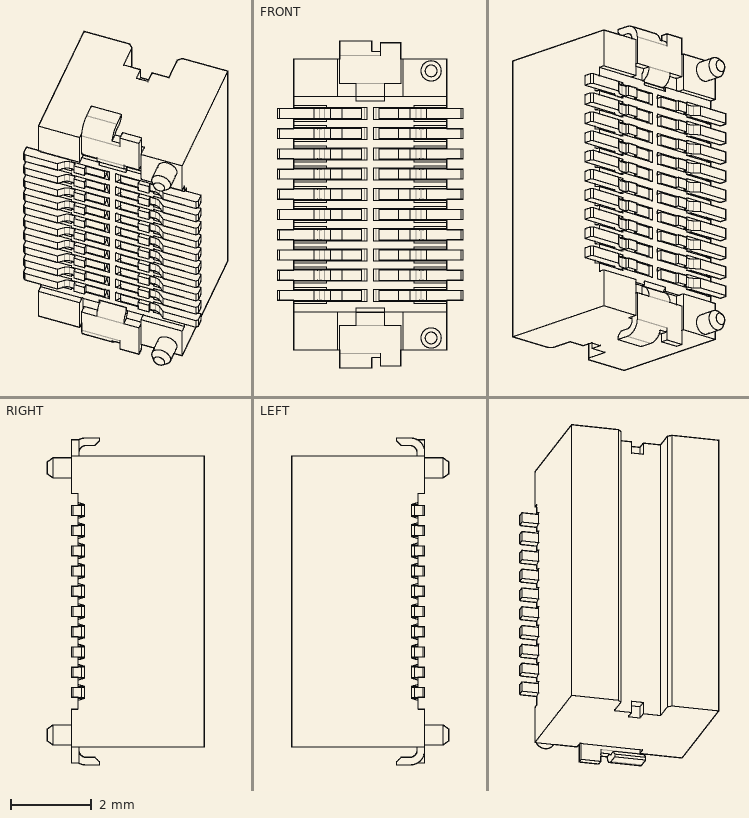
import cadquery as cq
import math


body_width = 3.79
body_depth = 3.3
body_height = 7.21
foot_inner_z = 2.665
recess_depth = 0.16

key_width = 1.19
key_depth = 0.7
key_chamfer = 0.1
key_pocket_size = 0.3

contact_count = 10
row_length = 4.5
pitch = row_length / (contact_count - 1)
contact_width = 0.25
contact_thickness = 0.25
contact_span = 4.6
contact_tip_x = contact_span / 2
contact_tip_chamfer = 0.05
bend_start_x = 1.39
bend_angle = math.radians(40.6)
bend_run = 0.14
bend_radius = 0.195
contact_inner_x = 0.21
contact_root_y = 0.49
block_outer_x = 0.99
block_inner_x = 0.705
block_front_y = 0.07

slot_width = 0.3
slot_inner_x = 0.08
slot_step_x = 0.14
slot_step_y = 0.23
slot_floor_y = 0.34
groove_inner_x = 1.085
groove_mouth_width = 0.4
groove_floor_y = 0.32

clip_width = 1.515
clip_thickness = 0.195
clip_inner_z = 3.0
clip_tab_end_z = 4.0
clip_tab_inner_x = 0.25
hook_inner_x = 0.04
hook_end_z = 4.05
hook_end_y = 0.705
hook_radius = 0.365
hook_bevel = 0.12
hook_relief_z = 3.79
neck_width = 0.71
neck_root_y = 0.65
clip_notch_width = 1.61
clip_notch_depth = 0.25
neck_bevel = 0.105

peg_diameter = 0.5
peg_length = 0.6
peg_chamfer_radial = 0.105
peg_chamfer_axial = 0.145
peg_x = 1.51
peg_z = 3.305


def box(x0, x1, y0, y1, z0, z1):
    return cq.Workplane("XY").box(x1 - x0, y1 - y0, z1 - z0, centered=False).translate((x0, y0, z0))


def both_sides(shape):
    return shape.union(shape.mirror("YZ"))


def both_ends(shape):
    return shape.union(shape.mirror("XY"))


def at_every_contact(shape):
    """Copies of a shape centred on Z = 0, at each contact position of both rows."""
    pair = both_sides(shape)
    copies = cq.Workplane("XY")
    for index in range(contact_count):
        copies = copies.add(pair.translate((0, 0, index * pitch - row_length / 2)).vals())
    return copies.combine()


def make_housing():
    half_width = body_width / 2
    half_height = body_height / 2
    key_floor_y = body_depth - key_depth
    housing = box(-half_width, half_width, 0, body_depth, -half_height, half_height)
    housing = housing.cut(box(-half_width, half_width, 0, recess_depth, -foot_inner_z, foot_inner_z))

    half_key = key_width / 2
    keyway = (
        cq.Workplane("XY")
        .moveTo(-half_key, key_floor_y)
        .lineTo(half_key, key_floor_y)
        .lineTo(half_key, body_depth - key_chamfer)
        .lineTo(half_key + key_chamfer, body_depth)
        .lineTo(-half_key - key_chamfer, body_depth)
        .lineTo(-half_key, body_depth - key_chamfer)
        .close()
        .extrude(half_height, both=True)
    )
    half_pocket = key_pocket_size / 2
    key_pocket = box(
        -half_pocket, half_pocket,
        key_floor_y - key_pocket_size, key_floor_y,
        half_height - key_pocket_size, half_height,
    )
    half_notch = clip_notch_width / 2
    clip_notch = box(-half_notch, half_notch, 0, clip_notch_depth, foot_inner_z, half_height)
    neck_lead_in = (
        cq.Workplane("YZ")
        .moveTo(recess_depth, foot_inner_z)
        .lineTo(recess_depth, foot_inner_z - neck_bevel)
        .lineTo(clip_notch_depth, foot_inner_z)
        .close()
        .extrude(neck_width / 2, both=True)
    )
    return housing.cut(keyway).cut(both_ends(key_pocket.union(clip_notch).union(neck_lead_in)))


def make_contact_slot():
    """Slot around one contact: a straight pocket inside and a flared groove out to the side."""
    pocket = (
        cq.Workplane("XY")
        .moveTo(slot_inner_x, recess_depth)
        .lineTo(slot_step_x, slot_step_y)
        .lineTo(contact_inner_x, slot_floor_y)
        .lineTo(groove_inner_x, slot_floor_y)
        .lineTo(groove_inner_x, recess_depth)
        .close()
        .extrude(slot_width / 2, both=True)
    )
    groove = (
        cq.Workplane("YZ", origin=(groove_inner_x, 0, 0))
        .moveTo(recess_depth, groove_mouth_width / 2)
        .lineTo(groove_floor_y, slot_width / 2)
        .lineTo(groove_floor_y, -slot_width / 2)
        .lineTo(recess_depth, -groove_mouth_width / 2)
        .close()
        .extrude(body_width / 2 - groove_inner_x)
    )
    return pocket.union(groove)


def make_contact():
    """Contact with a flat solder tail that bends down into the housing."""
    slope_end_x = bend_start_x - bend_run
    slope_end_y = bend_run * math.tan(bend_angle)
    flat_x = slope_end_x - bend_radius * math.sin(bend_angle)
    flat_y = slope_end_y + bend_radius * (1 - math.cos(bend_angle))
    arc_mid_x = flat_x + bend_radius * math.sin(bend_angle / 2)
    arc_mid_y = flat_y - bend_radius * (1 - math.cos(bend_angle / 2))
    underside_bend_x = bend_start_x - contact_thickness * math.tan(bend_angle / 2)
    underside_end_x = underside_bend_x - (contact_root_y - contact_thickness) / math.tan(bend_angle)
    return (
        cq.Workplane("XY")
        .moveTo(contact_tip_x, contact_tip_chamfer)
        .lineTo(contact_tip_x - contact_tip_chamfer, 0)
        .lineTo(bend_start_x, 0)
        .lineTo(slope_end_x, slope_end_y)
        .threePointArc((arc_mid_x, arc_mid_y), (flat_x, flat_y))
        .lineTo(block_outer_x, flat_y)
        .lineTo(block_outer_x, block_front_y)
        .lineTo(block_inner_x, block_front_y)
        .lineTo(block_inner_x, flat_y)
        .lineTo(contact_inner_x, flat_y)
        .lineTo(contact_inner_x, contact_root_y)
        .lineTo(underside_end_x, contact_root_y)
        .lineTo(underside_bend_x, contact_thickness)
        .lineTo(contact_tip_x, contact_thickness)
        .close()
        .extrude(contact_width / 2, both=True)
    )


def make_clip():
    """Hold-down clip at the +Z end: flat plate, hook and tab outside, curved neck inside."""
    half_clip = clip_width / 2
    bend_z = hook_end_z - hook_radius
    inner_radius = hook_radius - clip_thickness
    diagonal = math.sqrt(0.5)

    plate = box(-half_clip, half_clip, 0, clip_thickness, clip_inner_z, bend_z)
    tab = box(clip_tab_inner_x, half_clip, 0, clip_thickness, bend_z, clip_tab_end_z)

    hook = (
        cq.Workplane("YZ", origin=(-half_clip, 0, 0))
        .moveTo(0, bend_z)
        .threePointArc(
            (hook_radius * (1 - diagonal), bend_z + hook_radius * diagonal),
            (hook_radius, hook_end_z),
        )
        .lineTo(hook_end_y, hook_end_z)
        .lineTo(hook_end_y, hook_end_z - clip_thickness + hook_bevel)
        .lineTo(hook_end_y - hook_bevel, hook_end_z - clip_thickness)
        .lineTo(hook_radius, hook_end_z - clip_thickness)
        .threePointArc(
            (hook_radius - inner_radius * diagonal, bend_z + inner_radius * diagonal),
            (clip_thickness, bend_z),
        )
        .close()
        .extrude(half_clip + clip_tab_inner_x)
    )
    hook_relief = box(hook_inner_x, clip_tab_inner_x, 0, hook_end_y, hook_relief_z, hook_end_z)

    neck_radius = clip_inner_z - foot_inner_z
    neck_inner_radius = neck_radius - clip_thickness
    neck = (
        cq.Workplane("YZ")
        .moveTo(0, clip_inner_z)
        .threePointArc(
            (neck_radius * (1 - diagonal), clip_inner_z - neck_radius * diagonal),
            (neck_radius, foot_inner_z),
        )
        .lineTo(neck_root_y, foot_inner_z)
        .lineTo(neck_root_y, foot_inner_z + clip_thickness)
        .lineTo(neck_radius, foot_inner_z + clip_thickness)
        .threePointArc(
            (neck_radius - neck_inner_radius * diagonal, clip_inner_z - neck_inner_radius * diagonal),
            (clip_thickness, clip_inner_z),
        )
        .close()
        .extrude(neck_width / 2, both=True)
    )
    return plate.union(tab).union(hook.cut(hook_relief)).union(neck)


def make_peg():
    """Round locating peg with a tapered tip, pointing out of the +Z foot."""
    radius = peg_diameter / 2
    return (
        cq.Workplane("XY")
        .lineTo(radius, 0)
        .lineTo(radius, -peg_length + peg_chamfer_axial)
        .lineTo(radius - peg_chamfer_radial, -peg_length)
        .lineTo(0, -peg_length)
        .close()
        .revolve(360, (0, 0, 0), (0, 1, 0))
        .translate((peg_x, 0, peg_z))
    )


result = (
    make_housing()
    .cut(at_every_contact(make_contact_slot()))
    .union(at_every_contact(make_contact()))
    .union(both_ends(make_clip()))
    .union(both_ends(make_peg()))
)